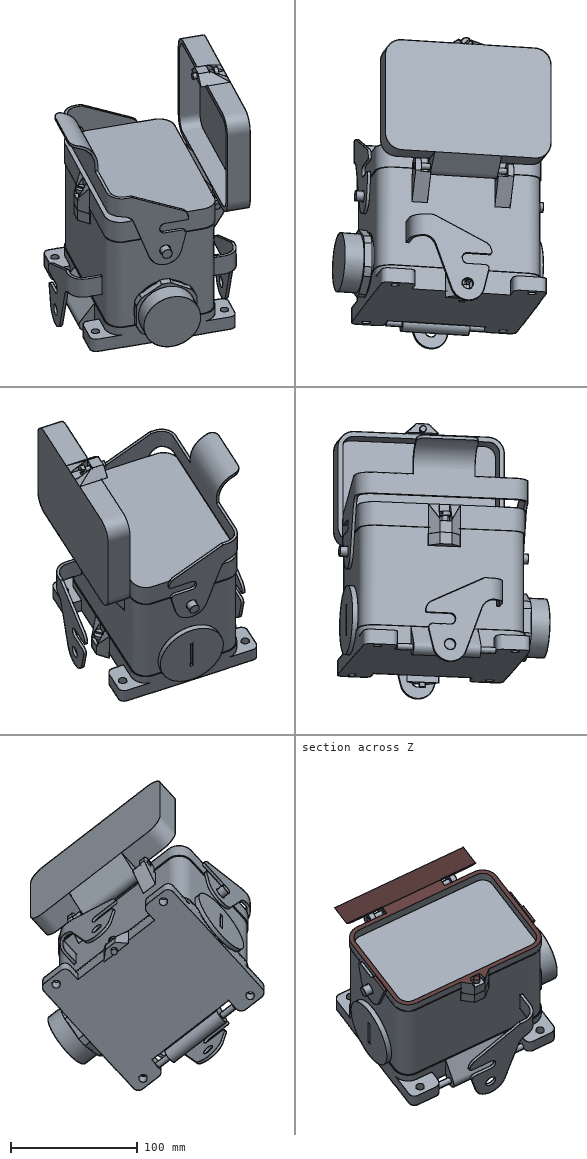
import cadquery as cq
import math


flange_x = 67.2
flange_y = 45.5
wall_step = 0.9
corner_radius = 13.1
rim_z = 100.0
skirt_height = 19.0
socket_boss_bottom = 85.4
base_axis_z = 0.5

foot_inner_x = 39.8
foot_outer_x = 67.0
foot_outer_y = 60.2
foot_inner_y = 32.8
foot_height = 11.8
foot_corner = 5.3
foot_hole_diameter = 6.5
foot_hole_x = 55.5
foot_hole_y = 53.5

cap_height = skirt_height
cap_wall = 4.0
cap_roof = 2.2
hinge_offset = 6.8
hinge_y = flange_y + hinge_offset
knuckle_radius = 6.1
web_half_width = 27.1
hinge_pin_diameter = 5.0
ear_inner_x = 27.4
ear_outer_x = foot_inner_x
ear_notch_x = 35.2
ear_notch_y = 46.6
ear_notch_z = 94.1
ear_shoulder_z = 94.8
ear_root_z = 72.5

boss_reach = 7.5
boss_root_half = 13.0
boss_bore = 9.6
boss_face_half = boss_bore / 2
boss_length = 24.3
boss_slope_drop = 13.5
bore_floor_drop = 14.9
screw_head_diameter = 9.0
screw_shank_diameter = hinge_pin_diameter
screw_head_top_drop = 6.8
screw_head_height = 3.3
screw_end_drop = 27.5
screw_slot_width = 1.5
screw_slot_depth = 1.8
screw_slot_angle = 45

lever_half_width = 69.8
lever_thickness = 2.5
lever_reach = 44.7
lever_bend = 12.7
lever_foot_radius = 13.8
lever_hole = 9.0
catch_height = 20.8
nose_reach = 19.5
jaw_reach = 18.2
nose_top = 32.5
nose_radius = 8.8
nose_lip_radius = 1.5
jaw_radius = 3.3
strap_bottom = 38.0
strap_top = 55.2
slope_end = 27.5
neck_reach = 28.5
neck_radius = 11.0
upper_pivot_z = 88.0
lower_pivot_z = 0.2
pivot_pin_diameter = 8.0
pivot_pin_end = 76.0

handle_half_width = 25.0
handle_bend = 22.0
handle_rise = 5.3
handle_corner = 7.0

port_z = 32.2
plug_diameter = 55.0
plug_end = 70.7
plug_slot_width = 2.5
plug_slot_length = 24.5
plug_slot_depth = 2.2
collar_diameter = 50.0
collar_end = 67.9
nut_across_flats = 50.0
nut_corner_diameter = 53.6
nut_end = 74.2
pipe_diameter = 47.0
pipe_end = 89.5

housing_x = flange_x - wall_step
housing_y = flange_y - wall_step


def box(x0, x1, y0, y1, z0, z1):
    """Box between two opposite corners."""
    return cq.Workplane("XY").box(x1 - x0, y1 - y0, z1 - z0, centered=False).translate((x0, y0, z0))


def rounded_block(half_x, half_y, radius, z0, z1):
    """Upright block centred on the Z axis with rounded vertical edges."""
    return box(-half_x, half_x, -half_y, half_y, z0, z1).edges("|Z").fillet(radius)


def x_cylinder(diameter, x0, x1, y, z):
    """Cylinder along X."""
    return cq.Workplane("YZ", origin=(x0, 0, 0)).center(y, z).circle(diameter / 2).extrude(x1 - x0)


def z_cylinder(diameter, y, z0, z1):
    """Cylinder along Z in the plane X = 0."""
    return cq.Workplane("XY", origin=(0, y, z0)).circle(diameter / 2).extrude(z1 - z0)


def tangent_point(u, v, radius, side):
    """Point where a line from (u, v) touches a circle about the origin; side +1 turns anticlockwise."""
    angle = math.atan2(v, u) + side * math.acos(radius / math.hypot(u, v))
    return radius * math.cos(angle), radius * math.sin(angle)


def boss_block(z0, z1):
    """Trapezoidal boss on the -Y flange face."""
    face_y = -flange_y - boss_reach
    outline = [
        (-boss_root_half, -flange_y),
        (-boss_face_half, face_y),
        (boss_face_half, face_y),
        (boss_root_half, -flange_y),
    ]
    return cq.Workplane("XY", origin=(0, 0, z0)).polyline(outline).close().extrude(z1 - z0)


def screw_boss(top):
    """Boss on the -Y flange face with a sloping top, an open counterbore and a captive slotted screw."""
    face_y = -flange_y - boss_reach
    axis_y = face_y + boss_face_half
    slope = (
        cq.Workplane("YZ", origin=(-boss_root_half, 0, 0))
        .polyline([(-flange_y, top), (face_y, top - boss_slope_drop), (face_y, top)])
        .close()
        .extrude(2 * boss_root_half)
    )
    floor = top - bore_floor_drop
    bore = z_cylinder(boss_bore, axis_y, floor, top)
    bore = bore.union(box(-boss_face_half, boss_face_half, face_y, axis_y, floor, top))
    head_top = top - screw_head_top_drop
    head_bottom = head_top - screw_head_height
    slot = (
        cq.Workplane("XY")
        .box(2 * screw_head_diameter, screw_slot_width, screw_slot_depth)
        .rotate((0, 0, 0), (0, 0, 1), screw_slot_angle)
        .translate((0, axis_y, head_top - screw_slot_depth / 2))
    )
    head = z_cylinder(screw_head_diameter, axis_y, head_bottom, head_top).cut(slot)
    shank = z_cylinder(screw_shank_diameter, axis_y, top - screw_end_drop, head_bottom)
    boss = boss_block(top - boss_length, top).cut(slope).cut(bore)
    return boss.union(shank).union(head)


def hinge_web(axis_z, top):
    """Web on the +Y flange face that slopes down from height top to a knuckle on the hinge axis."""
    rise = top - axis_z
    touch_y, touch_z = tangent_point(-hinge_offset, rise, knuckle_radius, -1)
    web = (
        cq.Workplane("YZ", origin=(-web_half_width, hinge_y, axis_z))
        .polyline([(-hinge_offset, 0), (-hinge_offset, rise), (touch_y, touch_z), (0, 0)])
        .close()
        .extrude(2 * web_half_width)
    )
    return web.union(x_cylinder(2 * knuckle_radius, -web_half_width, web_half_width, hinge_y, axis_z))


def make_cap():
    """Hollow cap in its closed position, with its hinge web and its screw boss."""
    top = rim_z + cap_height
    shell = rounded_block(flange_x, flange_y, corner_radius, rim_z, top)
    pocket = rounded_block(
        flange_x - cap_wall, flange_y - cap_wall, corner_radius - cap_wall, rim_z, top - cap_roof
    )
    return shell.cut(pocket).union(hinge_web(rim_z, top)).union(screw_boss(top))


def make_open_cap():
    """Cap swung open by a quarter turn; it carries the hinge pin."""
    swung = make_cap().rotate((0, hinge_y, rim_z), (1, hinge_y, rim_z), -90)
    return swung.union(x_cylinder(hinge_pin_diameter, -ear_outer_x, ear_outer_x, hinge_y, rim_z))


def mounting_foot(side_x, side_y):
    """One drilled foot at a corner of the base."""
    foot = box(foot_inner_x, foot_outer_x, foot_inner_y, foot_outer_y, 0, foot_height)
    foot = foot.edges("|Z and >Y").fillet(foot_corner)
    hole = z_cylinder(foot_hole_diameter, foot_hole_y, 0, foot_height).translate((foot_hole_x, 0, 0))
    foot = foot.cut(hole)
    if side_x < 0:
        foot = foot.mirror("YZ")
    if side_y < 0:
        foot = foot.mirror("XZ")
    return foot


def hinge_ear():
    """Ear on the +X half of the rear wall that holds one end of the hinge pin."""
    width = ear_outer_x - ear_inner_x
    bracket = (
        cq.Workplane("YZ", origin=(ear_inner_x, 0, 0))
        .moveTo(housing_y, ear_root_z)
        .lineTo(hinge_y + knuckle_radius, ear_shoulder_z)
        .lineTo(hinge_y + knuckle_radius, rim_z)
        .threePointArc((hinge_y, rim_z + knuckle_radius), (hinge_y - knuckle_radius, rim_z))
        .lineTo(hinge_y - knuckle_radius, ear_shoulder_z)
        .lineTo(housing_y, ear_shoulder_z)
        .close()
        .extrude(width)
    )
    notch_y = hinge_y + knuckle_radius
    notch_top = rim_z + knuckle_radius
    return bracket.cut(box(ear_inner_x, ear_notch_x, ear_notch_y, notch_y, ear_notch_z, notch_top))


def make_housing():
    """Housing with its skirt, feet, hinge ears, socket boss, base fittings and lever pivots."""
    body = rounded_block(housing_x, housing_y, corner_radius - wall_step, 0, rim_z)
    body = body.union(rounded_block(flange_x, flange_y, corner_radius, 0, skirt_height))
    for side_x in (-1, 1):
        for side_y in (-1, 1):
            body = body.union(mounting_foot(side_x, side_y))
    body = body.union(hinge_ear()).union(hinge_ear().mirror("YZ"))

    socket_top = rim_z + cap_height - boss_length
    socket_root = box(
        -boss_root_half, boss_root_half, -flange_y, -housing_y, socket_boss_bottom, socket_top
    )
    body = body.union(socket_root).union(boss_block(socket_boss_bottom, socket_top))

    base_fittings = hinge_web(base_axis_z, skirt_height).union(screw_boss(skirt_height))
    body = body.union(base_fittings.rotate((0, 0, 0), (0, 0, 1), 180))
    body = body.union(x_cylinder(hinge_pin_diameter, -foot_inner_x, foot_inner_x, -hinge_y, base_axis_z))
    return body.union(x_cylinder(pivot_pin_diameter, -pivot_pin_end, pivot_pin_end, 0, upper_pivot_z))


def lever_profile():
    """Side shape of a lever as a slab along X, pivot at the origin and front towards -Y."""
    catch_radius = lever_hole / 2
    catch_top = catch_height + catch_radius
    catch_bottom = catch_height - catch_radius
    outline = [
        tangent_point(neck_reach, strap_bottom, lever_foot_radius, -1),
        (neck_reach, strap_bottom),
        (lever_reach, strap_bottom),
        (lever_reach, strap_top),
        (slope_end, strap_top),
        (-nose_reach, nose_top),
        (-nose_reach, catch_top),
        (0, catch_top),
        (0, catch_bottom),
        (-jaw_reach, catch_bottom),
        tangent_point(-jaw_reach, catch_bottom, lever_foot_radius, 1),
    ]
    rounded_corners = [
        ((neck_reach, strap_bottom), neck_radius),
        ((-nose_reach, nose_top), nose_radius),
        ((-nose_reach, catch_top), nose_lip_radius),
        ((-jaw_reach, catch_bottom), jaw_radius),
    ]
    width = 2 * lever_half_width
    plane = cq.Plane(origin=(lever_half_width, 0, 0), xDir=(0, -1, 0), normal=(-1, 0, 0))
    slab = cq.Workplane(plane).polyline(outline).close().extrude(width)
    for (forward, up), radius in rounded_corners:
        slab = slab.edges(cq.selectors.NearestToPointSelector((0, -forward, up))).fillet(radius)
    slab = slab.union(x_cylinder(2 * lever_foot_radius, -lever_half_width, lever_half_width, 0, 0))
    slab = slab.cut(x_cylinder(lever_hole, -lever_half_width, lever_half_width, 0, 0))
    return slab.cut(x_cylinder(lever_hole, -lever_half_width, lever_half_width, 0, catch_height))


def make_lever():
    """U-shaped sheet lever: two arms joined by a strap in front, pivot axis along X at the origin."""
    back = lever_reach
    inner_x = lever_half_width - lever_thickness
    inner_front = lever_thickness - lever_reach
    outer = box(-lever_half_width, lever_half_width, -lever_reach, back, -lever_foot_radius, strap_top)
    outer = outer.edges("|Z and <Y").fillet(lever_bend)
    inner = box(-inner_x, inner_x, inner_front, back, -lever_foot_radius, strap_top)
    inner = inner.edges("|Z and <Y").fillet(lever_bend - lever_thickness)
    return outer.cut(inner).intersect(lever_profile())


def lever_handle():
    """Thumb plate that rises from the strap and curls forward over a quarter turn."""
    inner_y = lever_thickness - lever_reach
    bend_y = inner_y - handle_bend
    bend_z = strap_top + handle_rise
    inside_bend = handle_bend - lever_thickness
    diagonal = math.sqrt(0.5)
    plate = (
        cq.Workplane("YZ", origin=(-handle_half_width, 0, 0))
        .moveTo(inner_y, strap_top)
        .lineTo(inner_y, bend_z)
        .threePointArc(
            (bend_y + handle_bend * diagonal, bend_z + handle_bend * diagonal), (bend_y, bend_z + handle_bend)
        )
        .lineTo(bend_y, bend_z + inside_bend)
        .threePointArc(
            (bend_y + inside_bend * diagonal, bend_z + inside_bend * diagonal), (-lever_reach, bend_z)
        )
        .lineTo(-lever_reach, strap_top)
        .close()
        .extrude(2 * handle_half_width)
    )
    plan = box(-handle_half_width, handle_half_width, bend_y, inner_y, strap_top, bend_z + handle_bend)
    return plate.intersect(plan.edges("|Z and <Y").fillet(handle_corner))


def make_plug():
    """Blind plug in the -X wall, with a screwdriver slot."""
    disc = x_cylinder(plug_diameter, -plug_end, -housing_x, 0, port_z)
    slot = box(
        -plug_end,
        plug_slot_depth - plug_end,
        -plug_slot_width / 2,
        plug_slot_width / 2,
        port_z - plug_slot_length / 2,
        port_z + plug_slot_length / 2,
    )
    return disc.cut(slot)


def make_gland():
    """Cable gland on the +X wall: collar, hexagon with turned corners, and pipe."""
    collar = x_cylinder(collar_diameter, housing_x, collar_end, 0, port_z)
    hexagon = (
        cq.Workplane("YZ", origin=(collar_end, 0, port_z))
        .polygon(6, nut_across_flats, circumscribed=True)
        .extrude(nut_end - collar_end)
    )
    nut = hexagon.intersect(x_cylinder(nut_corner_diameter, collar_end, nut_end, 0, port_z))
    pipe = x_cylinder(pipe_diameter, nut_end, pipe_end, 0, port_z)
    return collar.union(nut).union(pipe)


open_cap = make_open_cap()
closed_cap = make_cap().cut(open_cap)
upper_lever = make_lever().union(lever_handle()).translate((0, 0, upper_pivot_z))
lower_lever = make_lever().rotate((0, 0, 0), (0, 0, 1), 90).translate((0, 0, lower_pivot_z))
plug = make_plug()
gland = make_gland()

housing = make_housing()
for seated_body in (open_cap, closed_cap, lower_lever, plug, gland):
    housing = housing.cut(seated_body)

bodies = (housing, closed_cap, open_cap, upper_lever, lower_lever, plug, gland)
result = cq.Compound.makeCompound([body.solids().val() for body in bodies])